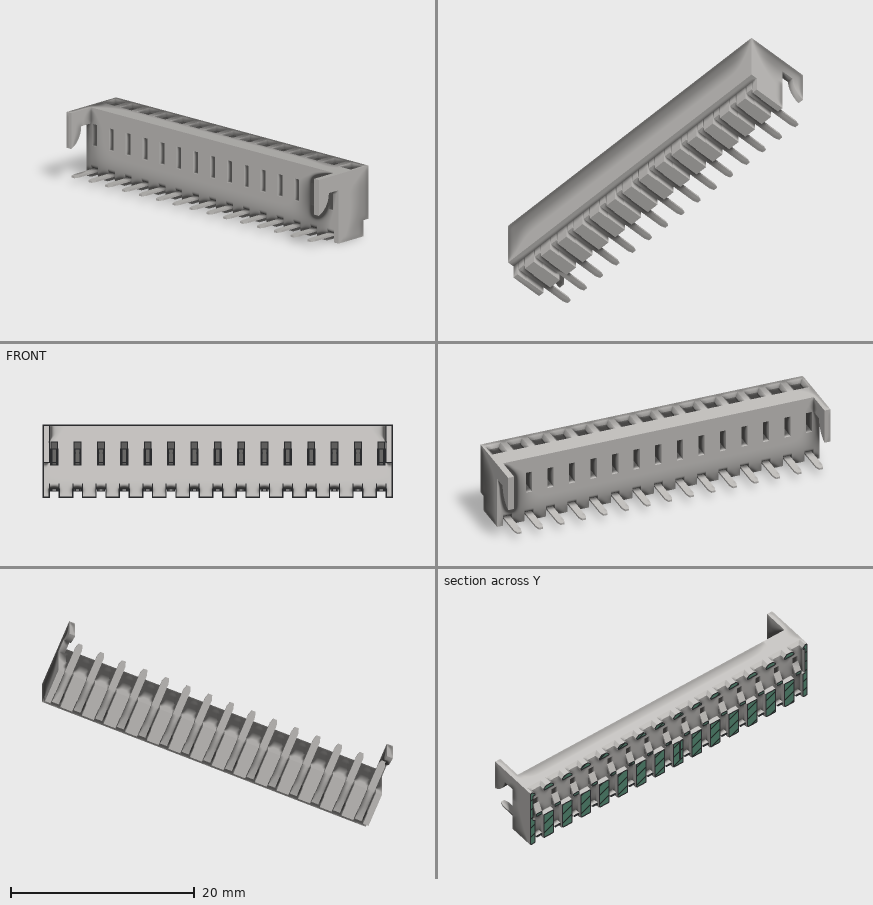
import cadquery as cq
import math


POSITIONS = 15
PITCH = 2.54
POSITION_CENTRES = [(i - (POSITIONS - 1) / 2) * PITCH for i in range(POSITIONS)]

OVERALL_DEPTH = 8.05
LENGTH = 38.0
HEIGHT = 7.87
DEPTH = 4.68
REAR_STEP_DEPTH = 0.8
REAR_STEP_HEIGHT = 1.83

WING_THICKNESS = 0.7
WING_REACH = 3.1
WING_UNDERSIDE_Z = 6.05
WING_TIP_Z = 3.8
WING_CURVE_RADIUS = 2.4

CAVITY_WIDTH = 1.15
CAVITY_BACK_Y = DEPTH - REAR_STEP_DEPTH
CAVITY_FRONT_Y = 2.56
CAVITY_DEPTH = CAVITY_BACK_Y - CAVITY_FRONT_Y
CAVITY_CENTRE_Y = (CAVITY_BACK_Y + CAVITY_FRONT_Y) / 2
LEAD_IN = 0.36

WINDOW_WIDTH = 0.73
WINDOW_BOTTOM_Z = 3.55
WINDOW_TOP_Z = 6.05

CHAMBER_END_WALL = 0.37
COLLAR_HEIGHT = 0.25
CHAMBER_TOP_Z = HEIGHT - LEAD_IN - COLLAR_HEIGHT

STRIP_THICKNESS = 0.22
STRIP_WIDTH = 0.8
PIN_UNDERSIDE_Z = 0.69
PIN_TOP_Z = PIN_UNDERSIDE_Z + STRIP_THICKNESS
PIN_REACH = OVERALL_DEPTH - DEPTH
PIN_TIP_WIDTH = 0.46
PIN_TIP_LENGTH = 0.55
SPRING_ANGLE = 60.0
SPRING_TOP_Z = 5.26
TONGUE_WIDTH = 0.52
TONGUE_REACH = 0.57
TONGUE_SHOULDER_Z = 3.78

NOTCH_WIDTH = 1.05
NOTCH_HEIGHT = PIN_TOP_Z
NOTCH_LIP_RADIUS = 0.53


def box(width, y_min, y_max, z_min, z_max):
    """Box centred on X = 0 between the given Y and Z limits."""
    size = (width, y_max - y_min, z_max - z_min)
    return cq.Workplane("XY").box(*size, centered=(True, False, False)).translate((0, y_min, z_min))


def extrude_side_profile(profile, width):
    """Extrude a profile drawn in the YZ plane, centred on X = 0."""
    return profile.extrude(width / 2, both=True)


def repeat_along_row(shape):
    """Compound of copies of a shape, one at every contact position."""
    return cq.Compound.makeCompound([shape.val().translate(cq.Vector(x, 0, 0)) for x in POSITION_CENTRES])


def make_block():
    block = box(LENGTH, 0, DEPTH, 0, HEIGHT)
    return block.cut(box(LENGTH, CAVITY_BACK_Y, DEPTH, 0, REAR_STEP_HEIGHT))


def make_wing():
    """Forward arm whose hooked end is undercut by a convex arc, vertical where it begins."""
    drop = WING_UNDERSIDE_Z - WING_TIP_Z
    arc_run = WING_CURVE_RADIUS - math.sqrt(WING_CURVE_RADIUS**2 - drop**2)
    arc_start_y = -WING_REACH + arc_run
    arc_centre_y = arc_start_y - WING_CURVE_RADIUS
    half_sweep = math.asin(drop / WING_CURVE_RADIUS) / 2
    arc_middle = (
        arc_centre_y + WING_CURVE_RADIUS * math.cos(half_sweep),
        WING_UNDERSIDE_Z - WING_CURVE_RADIUS * math.sin(half_sweep),
    )
    profile = (
        cq.Workplane("YZ")
        .moveTo(DEPTH / 2, HEIGHT)
        .lineTo(-WING_REACH, HEIGHT)
        .lineTo(-WING_REACH, WING_TIP_Z)
        .threePointArc(arc_middle, (arc_start_y, WING_UNDERSIDE_Z))
        .lineTo(DEPTH / 2, WING_UNDERSIDE_Z)
        .close()
    )
    return extrude_side_profile(profile, WING_THICKNESS)


def make_cavity():
    """Straight shaft through the full height, flared at the top."""
    shaft = box(CAVITY_WIDTH, CAVITY_FRONT_Y, CAVITY_BACK_Y, 0, HEIGHT)
    flare = (
        cq.Workplane("XY", origin=(0, CAVITY_CENTRE_Y, HEIGHT))
        .rect(CAVITY_WIDTH + 2 * LEAD_IN, CAVITY_DEPTH + 2 * LEAD_IN)
        .workplane(offset=-LEAD_IN)
        .rect(CAVITY_WIDTH, CAVITY_DEPTH)
        .loft(ruled=True)
    )
    return shaft.union(flare)


def make_chamber():
    chamber_length = LENGTH - 2 * CHAMBER_END_WALL
    return box(chamber_length, CAVITY_FRONT_Y, CAVITY_BACK_Y, WINDOW_BOTTOM_Z, CHAMBER_TOP_Z)


def make_window():
    return box(WINDOW_WIDTH, 0, CAVITY_CENTRE_Y, WINDOW_BOTTOM_Z, WINDOW_TOP_Z)


def make_notch():
    """Slot across the underside whose upper front edge is rounded over."""
    lip_middle = NOTCH_LIP_RADIUS * (1 - math.sqrt(0.5))
    profile = (
        cq.Workplane("YZ")
        .lineTo(DEPTH, 0)
        .lineTo(DEPTH, NOTCH_HEIGHT)
        .lineTo(NOTCH_LIP_RADIUS, NOTCH_HEIGHT)
        .threePointArc((lip_middle, NOTCH_HEIGHT + lip_middle), (0, NOTCH_HEIGHT + NOTCH_LIP_RADIUS))
        .close()
    )
    return extrude_side_profile(profile, NOTCH_WIDTH)


def make_pin():
    """Flat solder pin with a tapered tip, reaching back to the rear of the cavity."""
    taper_start_y = PIN_TIP_LENGTH - PIN_REACH
    return (
        cq.Workplane("XY", origin=(0, 0, PIN_UNDERSIDE_Z))
        .moveTo(-STRIP_WIDTH / 2, CAVITY_BACK_Y)
        .lineTo(-STRIP_WIDTH / 2, taper_start_y)
        .lineTo(-PIN_TIP_WIDTH / 2, -PIN_REACH)
        .lineTo(PIN_TIP_WIDTH / 2, -PIN_REACH)
        .lineTo(STRIP_WIDTH / 2, taper_start_y)
        .lineTo(STRIP_WIDTH / 2, CAVITY_BACK_Y)
        .close()
        .extrude(STRIP_THICKNESS)
    )


def make_spring():
    """Strip rising up the cavity rear, then leaning forward to the front wall."""
    slope = math.tan(math.radians(SPRING_ANGLE))
    lean_start_z = SPRING_TOP_Z - CAVITY_DEPTH * slope
    leg_front_y = CAVITY_BACK_Y - STRIP_THICKNESS
    drop = STRIP_THICKNESS / math.cos(math.radians(SPRING_ANGLE))
    profile = (
        cq.Workplane("YZ")
        .moveTo(CAVITY_BACK_Y, PIN_UNDERSIDE_Z)
        .lineTo(CAVITY_BACK_Y, lean_start_z)
        .lineTo(CAVITY_FRONT_Y, SPRING_TOP_Z)
        .lineTo(CAVITY_FRONT_Y, SPRING_TOP_Z - drop)
        .lineTo(leg_front_y, lean_start_z + STRIP_THICKNESS * slope - drop)
        .lineTo(leg_front_y, PIN_UNDERSIDE_Z)
        .close()
    )
    return extrude_side_profile(profile, STRIP_WIDTH)


def make_tongue():
    """Latch tongue sloping down and forward from the spring onto the window floor."""
    profile = (
        cq.Workplane("YZ")
        .moveTo(CAVITY_FRONT_Y, SPRING_TOP_Z)
        .lineTo(CAVITY_FRONT_Y - TONGUE_REACH, TONGUE_SHOULDER_Z)
        .lineTo(CAVITY_FRONT_Y - TONGUE_REACH, WINDOW_BOTTOM_Z)
        .lineTo(CAVITY_FRONT_Y, WINDOW_BOTTOM_Z)
        .close()
    )
    return extrude_side_profile(profile, TONGUE_WIDTH)


def make_housing():
    wing = make_wing()
    wing_centre_x = (LENGTH - WING_THICKNESS) / 2
    housing = make_block()
    for side in (-1, 1):
        housing = housing.union(wing.translate((side * wing_centre_x, 0, 0)))
    opening = make_cavity().union(make_window()).union(make_notch())
    return housing.cut(make_chamber()).cut(cq.Workplane(repeat_along_row(opening)))


def make_contact():
    return make_pin().union(make_spring()).union(make_tongue())


result = make_housing().union(cq.Workplane(repeat_along_row(make_contact())))